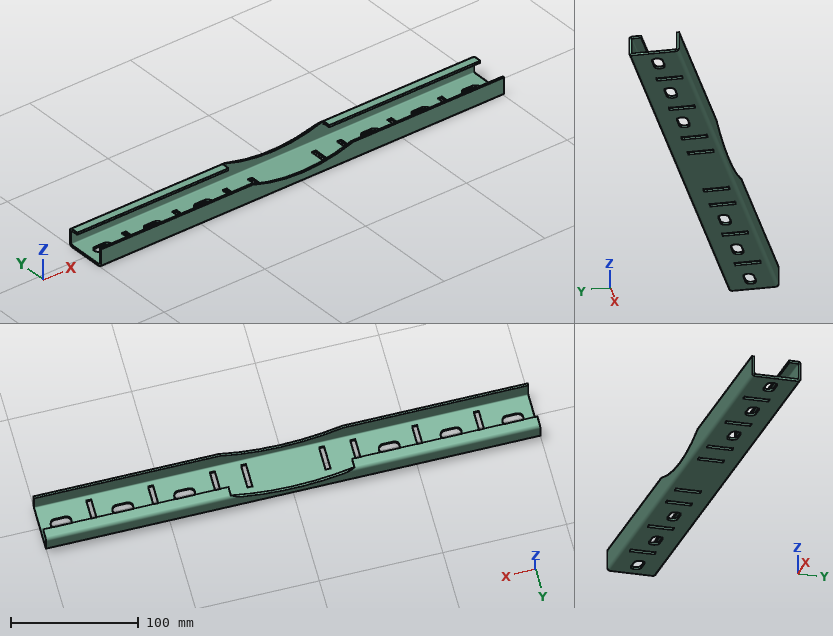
import cadquery as cq

length = 400.0
width = 40.0

thickness = 2.0
outer_bend = 3.0
inner_bend = outer_bend - thickness
lip_width = 9.5
wall_rise = 14.0
height = outer_bend + wall_rise

relief_length = 100.0
relief_depth = 8.5

slot_pitch = 50.0
slots_per_end = 3

round_slot_length = 17.0
round_slot_width = 8.5
end_margin = 9.0
first_round_slot = length / 2 - end_margin - round_slot_length / 2

narrow_slot_width = 4.0
narrow_slot_length = 20.5
narrow_slot_y = -3.5
narrow_slot_offset = 26.0
first_narrow_slot = first_round_slot - narrow_slot_offset
inner_narrow_slot = 31.5

half_width = width / 2
cut_margin = 4.0


def bar(y_min, y_max, z_min, z_max, bar_length=length):
    """Rectangular bar along X, centred on X = 0."""
    return (
        cq.Workplane("XY")
        .box(bar_length, y_max - y_min, z_max - z_min, centered=(True, False, False))
        .translate((0, y_min, z_min))
    )


def make_channel():
    """Bent sheet: floor, two side walls and an inward lip along the rear wall."""
    outside = bar(-half_width, half_width, 0, height)
    outside = outside.edges("|X and <Z").fillet(outer_bend)
    outside = outside.edges("|X and >Z and >Y").fillet(outer_bend)

    inner_half_width = half_width - thickness
    inside = bar(-inner_half_width, inner_half_width, thickness, height - thickness)
    inside = inside.edges("|X and <Z").fillet(inner_bend)
    inside = inside.edges("|X and >Z and >Y").fillet(inner_bend)

    mouth = bar(-inner_half_width, half_width - lip_width, height / 2, height + cut_margin)
    return outside.cut(inside).cut(mouth)


def make_lip_gap():
    """Square-ended gap in the lip, reaching back to the rear wall."""
    return bar(
        half_width - lip_width - cut_margin,
        half_width - thickness,
        height - outer_bend,
        height + cut_margin,
        relief_length,
    )


def make_wall_relief():
    """Shallow arc scooped across the tops of both side walls."""
    half_relief = relief_length / 2
    return (
        cq.Workplane("XZ")
        .moveTo(-half_relief, height)
        .threePointArc((0, height - relief_depth), (half_relief, height))
        .lineTo(half_relief, height + cut_margin)
        .lineTo(-half_relief, height + cut_margin)
        .close()
        .extrude(half_width + cut_margin, both=True)
    )


def mirrored_row(first_x, y):
    """Slot centres stepping inward from both ends of the channel."""
    row = [first_x - i * slot_pitch for i in range(slots_per_end)]
    return [(side * x, y) for x in row for side in (-1, 1)]


def make_round_slots():
    return (
        cq.Workplane("XY")
        .pushPoints(mirrored_row(first_round_slot, 0))
        .slot2D(round_slot_length, round_slot_width)
        .extrude(2 * thickness)
    )


def make_narrow_slots():
    centres = mirrored_row(first_narrow_slot, narrow_slot_y)
    centres += [(side * inner_narrow_slot, narrow_slot_y) for side in (-1, 1)]
    return (
        cq.Workplane("XY")
        .pushPoints(centres)
        .rect(narrow_slot_width, narrow_slot_length)
        .extrude(2 * thickness)
    )


result = (
    make_channel()
    .cut(make_lip_gap())
    .cut(make_wall_relief())
    .cut(make_round_slots())
    .cut(make_narrow_slots())
)